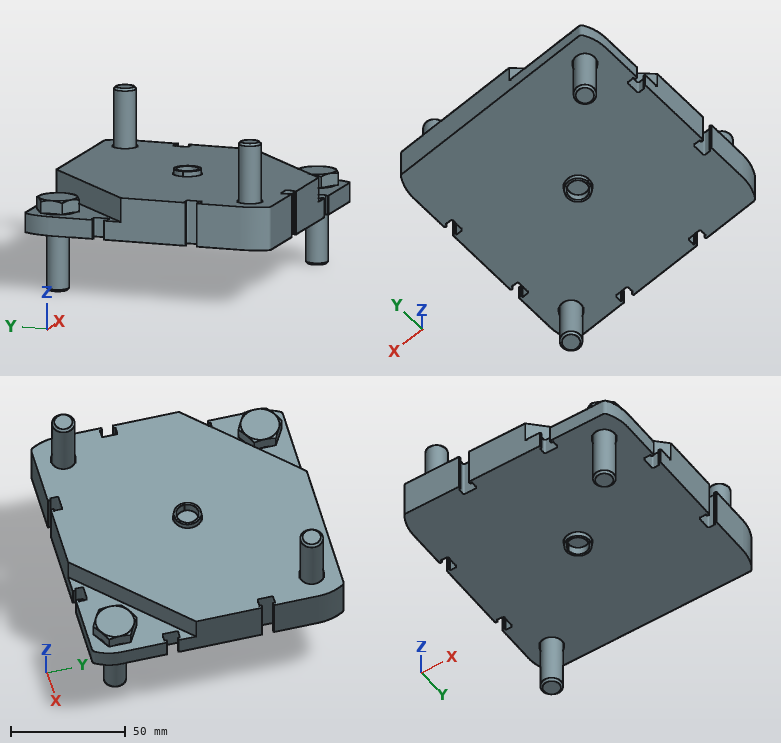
import cadquery as cq
import math

SIDE = 113.5
THICKNESS = 19.3
SPAN_Z = 72.5
CORNER_RADIUS = 22.7
CORNER_BLEND = 2.0
SHELF_HEIGHT = 8.5
SHELF_REACH = 45.7

SLOT_OFFSET = 21.5
SLOT_MOUTH = 5.0
SLOT_WIDTH = 7.0
SLOT_DEPTH = 5.0
SLOT_LIP = 1.4
SLOT_FLOOR_FILLET = 0.7
SLOT_LIP_FILLET = 0.2

BOLT_OFFSET = 44.4
SHANK_DIAMETER = 10.0
SHANK_HOLE = 11.0
TIP_CHAMFER = 1.0
HEAD_FLATS = 17.0
HEAD_HEIGHT = 6.4
WASHER_DIAMETER = 16.0
WASHER_HEIGHT = 0.5
HEAD_TOP_DIAMETER = 16.9
HEAD_CHAMFER_ANGLE = 30.0

SLEEVE_OUTER = 12.0
SLEEVE_BORE = 10.0
SLEEVE_LENGTH = 4.4
SLEEVE_CROWN = 0.2
SLEEVE_PROTRUSION = 2.4
SLEEVE_HOLE = 12.7
SLEEVE_SLIT = 0.2

HALF = SIDE / 2
TOP_Z = THICKNESS / 2
BOTTOM_Z = -TOP_Z
SHELF_Z = BOTTOM_Z + SHELF_HEIGHT
TIP_Z = SPAN_Z / 2
STUD_SEAT_Z = -SHELF_Z
SLEEVE_END_Z = TOP_Z + SLEEVE_PROTRUSION
SLEEVE_SEAT_Z = SLEEVE_END_Z - SLEEVE_LENGTH

SCREW_POINTS = [(-BOLT_OFFSET, BOLT_OFFSET), (BOLT_OFFSET, -BOLT_OFFSET)]
STUD_POINTS = [(-BOLT_OFFSET, -BOLT_OFFSET), (BOLT_OFFSET, BOLT_OFFSET)]


def cylinder(diameter, z_low, z_high):
    """Vertical cylinder on the Z axis."""
    return cq.Workplane("XY").workplane(offset=z_low).circle(diameter / 2).extrude(z_high - z_low)


def plate_blank():
    """Square plate whose corners are long arcs blended into the Y sides."""
    rise = HALF - BOLT_OFFSET
    arc_end_x = HALF - CORNER_RADIUS + math.sqrt(CORNER_RADIUS**2 - rise**2)
    blank = (
        cq.Workplane("XY")
        .workplane(offset=BOTTOM_Z)
        .moveTo(HALF, -BOLT_OFFSET)
        .lineTo(HALF, BOLT_OFFSET)
        .radiusArc((arc_end_x, HALF), -CORNER_RADIUS)
        .lineTo(-arc_end_x, HALF)
        .radiusArc((-HALF, BOLT_OFFSET), -CORNER_RADIUS)
        .lineTo(-HALF, -BOLT_OFFSET)
        .radiusArc((-arc_end_x, -HALF), -CORNER_RADIUS)
        .lineTo(arc_end_x, -HALF)
        .radiusArc((HALF, -BOLT_OFFSET), -CORNER_RADIUS)
        .close()
        .extrude(THICKNESS)
    )
    return blank.edges("|Z and (>Y or <Y)").fillet(CORNER_BLEND)


def corner_cut(turn):
    """Triangular prism that lowers the (+X, -Y) corner to the shelf, turned about Z."""
    prism = (
        cq.Workplane("XY")
        .workplane(offset=SHELF_Z)
        .moveTo(HALF, -HALF)
        .lineTo(HALF, -HALF + SHELF_REACH)
        .lineTo(HALF - SHELF_REACH, -HALF)
        .close()
        .extrude(TOP_Z - SHELF_Z)
    )
    return prism.rotate((0, 0, 0), (0, 0, 1), turn)


def t_slot(offset, turn):
    """T-slot cutter for the -Y side, centred at X = offset, then turned about Z."""
    lip_y = -HALF + SLOT_LIP
    floor_y = -HALF + SLOT_DEPTH
    pocket = (
        cq.Workplane("XY")
        .workplane(offset=BOTTOM_Z)
        .center(offset, (lip_y + floor_y) / 2)
        .rect(SLOT_WIDTH, floor_y - lip_y)
        .extrude(THICKNESS)
        .edges("|Z and >Y")
        .fillet(SLOT_FLOOR_FILLET)
    )
    half_mouth = SLOT_MOUTH / 2
    r = SLOT_LIP_FILLET
    mouth = (
        cq.Workplane("XY")
        .workplane(offset=BOTTOM_Z)
        .center(offset, -HALF)
        .moveTo(-half_mouth - r, 0)
        .lineTo(half_mouth + r, 0)
        .radiusArc((half_mouth, r), -r)
        .lineTo(half_mouth, SLOT_LIP - r)
        .radiusArc((half_mouth + r, SLOT_LIP), -r)
        .lineTo(-half_mouth - r, SLOT_LIP)
        .radiusArc((-half_mouth, SLOT_LIP - r), -r)
        .lineTo(-half_mouth, r)
        .radiusArc((-half_mouth - r, 0), -r)
        .close()
        .extrude(THICKNESS)
    )
    return pocket.union(mouth).rotate((0, 0, 0), (0, 0, 1), turn)


def make_plate():
    plate = plate_blank()
    for turn in (0, 180):
        plate = plate.cut(corner_cut(turn))
    for turn in (-90, 0, 90):
        for offset in (-SLOT_OFFSET, SLOT_OFFSET):
            plate = plate.cut(t_slot(offset, turn))
    for x, y in SCREW_POINTS:
        plate = plate.cut(cylinder(SHANK_HOLE, BOTTOM_Z, SHELF_Z).translate((x, y, 0)))
    for x, y in STUD_POINTS:
        plate = plate.cut(cylinder(SHANK_HOLE, STUD_SEAT_Z, TOP_Z).translate((x, y, 0)))
    plate = plate.cut(cylinder(SLEEVE_HOLE, SLEEVE_SEAT_Z, TOP_Z))
    return plate.cut(cylinder(SLEEVE_HOLE, BOTTOM_Z, -SLEEVE_SEAT_Z))


def make_hex_screw(x, y):
    """Hex-head screw that rests on the shelf and points down."""
    corner_diameter = HEAD_FLATS / math.cos(math.pi / 6)
    hex_base_z = SHELF_Z + WASHER_HEIGHT
    head_top_z = SHELF_Z + HEAD_HEIGHT
    chamfer_width = (corner_diameter - HEAD_TOP_DIAMETER) / 2
    chamfer_height = chamfer_width * math.tan(math.radians(HEAD_CHAMFER_ANGLE))
    head = (
        cq.Workplane("XY")
        .workplane(offset=hex_base_z)
        .polygon(6, corner_diameter)
        .extrude(head_top_z - hex_base_z)
        .rotate((0, 0, 0), (0, 0, 1), 30)
    )
    envelope = (
        cylinder(corner_diameter, hex_base_z, head_top_z)
        .faces(">Z")
        .chamfer(chamfer_height, chamfer_width)
    )
    washer_face = cylinder(WASHER_DIAMETER, SHELF_Z, hex_base_z)
    shank = cylinder(SHANK_DIAMETER, -TIP_Z, SHELF_Z).faces("<Z").chamfer(TIP_CHAMFER)
    screw = head.intersect(envelope).union(washer_face).union(shank)
    return screw.translate((x, y, 0))


def make_stud(x, y):
    """Plain stud that stands in a blind hole and points up."""
    stud = cylinder(SHANK_DIAMETER, STUD_SEAT_Z, TIP_Z).faces(">Z").chamfer(TIP_CHAMFER)
    return stud.translate((x, y, 0))


def make_sleeve(turn):
    """Slit sleeve with a rounded rim, seated in the upper face, turned about the X axis."""
    inner_radius = SLEEVE_BORE / 2
    outer_radius = SLEEVE_OUTER / 2
    rim_base_z = SLEEVE_END_Z - SLEEVE_CROWN
    sleeve = (
        cq.Workplane("XZ")
        .moveTo(inner_radius, SLEEVE_SEAT_Z)
        .lineTo(outer_radius, SLEEVE_SEAT_Z)
        .lineTo(outer_radius, rim_base_z)
        .threePointArc(
            ((inner_radius + outer_radius) / 2, SLEEVE_END_Z),
            (inner_radius, rim_base_z),
        )
        .close()
        .revolve(360, (0, 0, 0), (0, 1, 0))
    )
    slit = (
        cq.Workplane("XY")
        .workplane(offset=SLEEVE_SEAT_Z)
        .center(-SLEEVE_OUTER / 2, 0)
        .rect(SLEEVE_OUTER, SLEEVE_SLIT)
        .extrude(SLEEVE_LENGTH)
    )
    return sleeve.cut(slit).rotate((0, 0, 0), (1, 0, 0), turn)


plate = make_plate()
hex_screws = [make_hex_screw(x, y) for x, y in SCREW_POINTS]
studs = [make_stud(x, y) for x, y in STUD_POINTS]
sleeves = [make_sleeve(turn) for turn in (0, 180)]

result = cq.Compound.makeCompound(
    [body.val() for body in [plate, *hex_screws, *studs, *sleeves]]
)